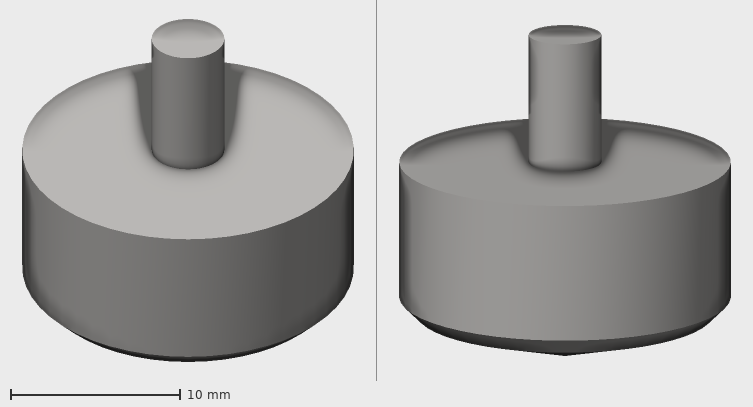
import cadquery as cq

total_height = 19.7
body_diameter = 19.6
stem_diameter = 4.3
stem_height = 7.8
chamfer_size = 1.0
tip_height = 2.64

body_radius = body_diameter / 2
stem_radius = stem_diameter / 2
cone_radius = body_radius - chamfer_size
chamfer_top = tip_height + chamfer_size
body_top = total_height - stem_height

result = (
    cq.Workplane("XZ")
    .moveTo(0, 0)
    .lineTo(cone_radius, tip_height)
    .lineTo(body_radius, chamfer_top)
    .lineTo(body_radius, body_top)
    .lineTo(stem_radius, body_top)
    .lineTo(stem_radius, total_height)
    .lineTo(0, total_height)
    .close()
    .revolve(360, (0, 0, 0), (0, 1, 0))
)